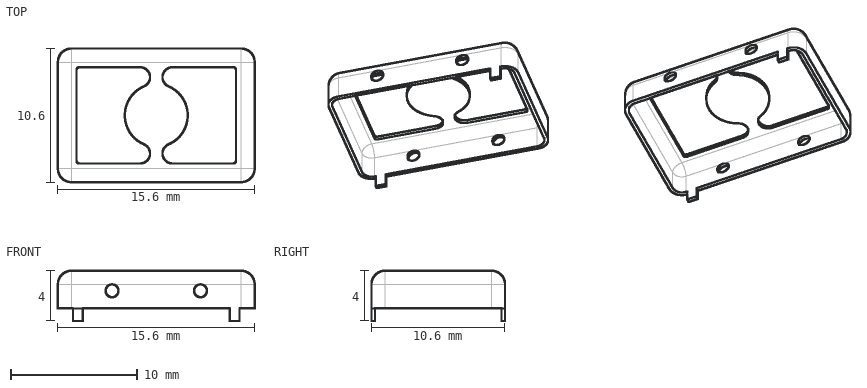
import cadquery as cq
import math

length = 15.6
width = 10.6
body_height = 3.0
edge_radius = 1.1
wall = 0.3

window_margin = 1.5
window_corner_radius = 0.2
disc_radius = 2.5
neck_width = 1.0

hole_diameter = 1.0
hole_spacing = 7.0
hole_depth_below_top = 1.6

tab_width = 0.8
tab_height = 1.0
tab_outer_x = 6.6

window_half_length = length / 2 - window_margin
window_half_width = width / 2 - window_margin


def rounded_block(block_length, block_width, top_z, radius):
    """Block standing on z = 0 with rounded vertical and top edges."""
    block = cq.Workplane("XY").box(block_length, block_width, top_z, centered=(True, True, False))
    return block.edges("|Z").fillet(radius).faces(">Z").edges().fillet(radius)


def make_shell():
    """Open-bottomed cover with a constant wall thickness."""
    outside = rounded_block(length, width, body_height, edge_radius)
    cavity = rounded_block(
        length - 2 * wall, width - 2 * wall, body_height - wall, edge_radius - wall
    )
    return outside.cut(cavity)


def neck_round_radius():
    """Radius of the arc tangent to the window edge, the neck side and the disc.

    The arc centre is (neck_half + r, window_half_width - r), at a distance
    disc_radius + r from the disc centre, which gives r^2 - 2*b*r + c = 0.
    """
    neck_half = neck_width / 2
    b = window_half_width + disc_radius - neck_half
    c = window_half_width**2 + neck_half**2 - disc_radius**2
    return b - math.sqrt(b**2 - c)


def make_window(side):
    """Cutter for the window on the +X (side = 1) or -X (side = -1) half."""
    r = neck_round_radius()
    round_x = neck_width / 2 + r
    round_y = window_half_width - r
    touch_scale = disc_radius / (disc_radius + r)
    touch_x = round_x * touch_scale
    touch_y = round_y * touch_scale

    def at(x, y):
        return (side * x, y)

    start_angle = math.pi / 2
    end_angle = math.pi + math.atan2(round_y, round_x)
    middle_angle = (start_angle + end_angle) / 2
    middle_x = round_x + r * math.cos(middle_angle)
    middle_y = round_y + r * math.sin(middle_angle)

    outline = (
        cq.Workplane("XY")
        .moveTo(*at(window_half_length, window_half_width))
        .lineTo(*at(round_x, window_half_width))
        .threePointArc(at(middle_x, middle_y), at(touch_x, touch_y))
        .threePointArc(at(disc_radius, 0), at(touch_x, -touch_y))
        .threePointArc(at(middle_x, -middle_y), at(round_x, -window_half_width))
        .lineTo(*at(window_half_length, -window_half_width))
        .close()
    )
    outer_corners = ">X" if side > 0 else "<X"
    window = outline.extrude(body_height)
    return window.edges("|Z").edges(outer_corners).fillet(window_corner_radius)


def make_side_holes():
    """Two cylinders along Y that pierce both long walls."""
    return (
        cq.Workplane("XZ")
        .pushPoints([(side * hole_spacing / 2, body_height - hole_depth_below_top) for side in (-1, 1)])
        .circle(hole_diameter / 2)
        .extrude(width, both=True)
    )


def make_tab(side):
    """Tab below a long wall: +X end of the -Y wall (1) or -X end of the +Y wall (-1)."""
    center_x = side * (tab_outer_x - tab_width / 2)
    center_y = -side * (width - wall) / 2
    overlap = wall
    tab = cq.Workplane("XY").box(tab_width, wall, tab_height + overlap, centered=(True, True, False))
    return tab.translate((center_x, center_y, -tab_height))


result = make_shell().cut(make_side_holes())
for half in (-1, 1):
    result = result.cut(make_window(half)).union(make_tab(half))